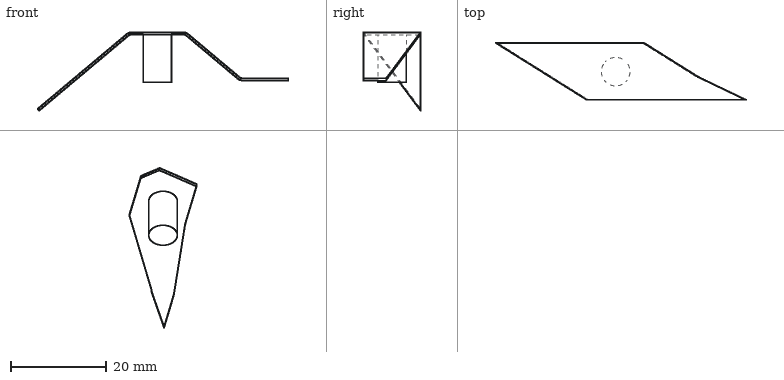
import cadquery as cq
import math

WIDTH = 12.0
TOP_LENGTH = 12.0
THICKNESS = 0.5
FOLD_ANGLE = 40.0
INNER_RADIUS = 1.0
OUTER_RADIUS = INNER_RADIUS + THICKNESS
LEFT_LEG = 25.0
RIGHT_LEG = 15.0
FOOT_LENGTH = 10.0
POST_DIAMETER = 6.0
POST_LENGTH = 10.0
MARGIN = 1.05

angle = math.radians(FOLD_ANGLE)
half_top = TOP_LENGTH / 2
half_width = WIDTH / 2

left_fold = (-half_top, 0)
right_fold = (half_top, 0)
left_tip = (-half_top - LEFT_LEG * math.cos(angle), -LEFT_LEG * math.sin(angle))
foot_fold = (half_top + RIGHT_LEG * math.cos(angle), -RIGHT_LEG * math.sin(angle))
foot_tip = (foot_fold[0] + FOOT_LENGTH, foot_fold[1])

foot_width = WIDTH * FOOT_LENGTH / (RIGHT_LEG + FOOT_LENGTH)


def below(point, depth, normal_tilt, mitre=0):
    """Point at a given sheet depth, along a normal tilted toward +X; mitre is half a fold."""
    reach = depth / math.cos(mitre)
    return (point[0] - reach * math.sin(normal_tilt), point[1] - reach * math.cos(normal_tilt))


def layer(depth):
    """Corners of the sheet at a given depth below its upper surface."""
    return [
        below(left_tip, depth, -angle),
        below(left_fold, depth, -angle / 2, angle / 2),
        below(right_fold, depth, angle / 2, angle / 2),
        below(foot_fold, depth, angle / 2, angle / 2),
        below(foot_tip, depth, 0),
    ]


def across_width(outline):
    return cq.Workplane("XZ").polyline(outline).close().extrude(half_width + MARGIN, both=True)


def round_fold(sheet, corner, radius):
    edge = cq.selectors.NearestToPointSelector((corner[0], 0, corner[1]))
    return sheet.edges("|Y").edges(edge).fillet(radius)


def folded_strip():
    upper = layer(0)
    lower = layer(THICKNESS)
    outline = upper + lower[::-1]
    strip = cq.Workplane("XZ").polyline(outline).close().extrude(half_width, both=True)
    for fold in (1, 2):
        strip = round_fold(strip, upper[fold], OUTER_RADIUS)
        strip = round_fold(strip, lower[fold], INNER_RADIUS)
    strip = round_fold(strip, upper[3], INNER_RADIUS)
    return round_fold(strip, lower[3], OUTER_RADIUS)


def taper_tool(panel, tilt, start, trim_outline):
    """Waste beside a tapered edge, square to its panel and bounded by the fold mitres."""
    above = layer(-MARGIN)
    beneath = layer(THICKNESS + MARGIN)
    first, last = panel
    zone = across_width([above[first], above[last], beneath[last], beneath[first]])
    plane = cq.Plane(
        origin=(start[0], 0, start[1]),
        xDir=(math.cos(tilt), 0, -math.sin(tilt)),
        normal=(math.sin(tilt), 0, math.cos(tilt)),
    )
    waste = cq.Workplane(plane).polyline(trim_outline).close().extrude(2 * OUTER_RADIUS, both=True)
    return zone.intersect(waste)


sheet = folded_strip()

sheet = sheet.cut(taper_tool(
    (0, 1), -angle, left_fold,
    [(0, -half_width), (-LEFT_LEG, half_width), (-LEFT_LEG, -half_width)],
))

sheet = sheet.cut(taper_tool(
    (2, 3), angle, right_fold,
    [(0, half_width), (RIGHT_LEG, foot_width - half_width),
     (RIGHT_LEG + MARGIN, foot_width - half_width), (RIGHT_LEG + MARGIN, half_width)],
))

sheet = sheet.cut(taper_tool(
    (3, 4), 0, foot_fold,
    [(-MARGIN, foot_width - half_width), (0, foot_width - half_width),
     (FOOT_LENGTH, -half_width), (FOOT_LENGTH, half_width), (-MARGIN, half_width)],
))

post = (
    cq.Workplane("XY", origin=(0, 0, -THICKNESS))
    .circle(POST_DIAMETER / 2)
    .extrude(-POST_LENGTH)
)

result = sheet.union(post)